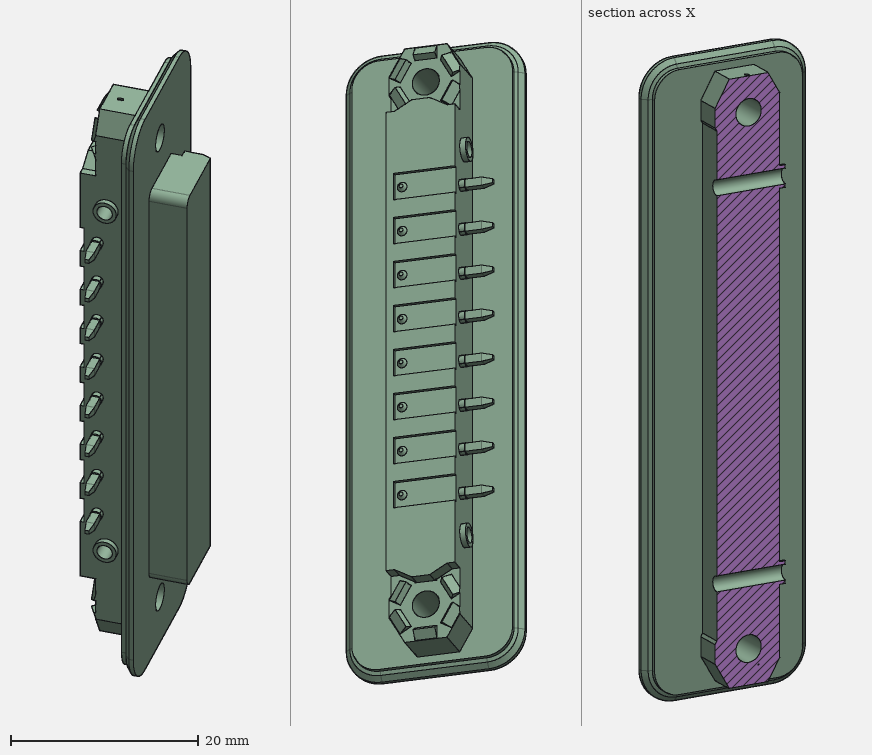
import cadquery as cq
import math

PLATE_LENGTH = 72.3
PLATE_WIDTH = 20.1
PLATE_CORNER_RADIUS = 4.05
PLATE_FRONT_X = 0.1
PLATE_BACK_X = 1.7
RIM_WALL_END_X = 0.6
RIM_BREAK_X = 0.7
RIM_EDGE_X = 1.2
RIM_WALL_INSET = 1.0
RIM_BREAK_INSET = 0.6

BODY_TOP_Y = 3.2
BODY_BOTTOM_Y = -4.55
SHOULDER_X = -4.3
PAD_FACE_X = -6.0

HEX_SIDES = 6
MOUNT_Y = -0.7
MOUNT_Z = 30.15
END_HEX_APOTHEM = 4.1
END_HEX_LIMIT_Y = 3.4
MOUNT_HOLE_RADIUS = 1.5
MARK_X = -2.7
MARK_LENGTH = 0.65
MARK_WIDTH = 0.35
MARK_DEPTH = 0.2

NUT_APOTHEM = 2.6
PAD_END_Z = MOUNT_Z - NUT_APOTHEM
PAD_CORNER_DROP = 1.1
PAD_TIP_HALF_WIDTH = 1.0
PAD_SHOULDER_HALF_WIDTH = 2.95

TAB_TIP_X = -4.9
TAB_TIP_RADIUS = 3.0
TAB_OUTER_RADIUS = 4.05
TAB_WIDTH = 2.45

CONTACT_COUNT = 8
CONTACT_ROW_LENGTH = 35.55
CONTACT_PITCH = CONTACT_ROW_LENGTH / (CONTACT_COUNT - 1)
POCKET_DEPTH = 0.4
POCKET_HEIGHT = 3.0
POCKET_TOP_Y = 2.3
STUD_Y = 1.5
STUD_BASE_RADIUS = 0.54
STUD_TIP_RADIUS = 0.2
STUD_HEIGHT = 0.35
PIN_X = -4.05
PIN_WIDTH = 0.95
PIN_TIP_WIDTH = 0.4
PIN_COLLAR_RADIUS = 0.65
COLLAR_HEIGHT = 0.65
PIN_TAPER_Y = -7.1
PIN_TIP_Y = -8.25

CROSS_HOLE_X = -3.0
CROSS_HOLE_Z = 22.25
CROSS_HOLE_RADIUS = 0.9
RING_RADIUS = 1.3

BLOCK_END_X = 6.0
BLOCK_HALF_LENGTH = 25.45
BLOCK_EDGE_RADIUS = 1.0
LATCH_START_X = 2.95
LATCH_SLOPE_X = 5.05
LATCH_TOP_Y = 4.05
LATCH_END_Y = 3.6

OVERLAP = 0.15


def at_x(x):
    """YZ plane at the given X, with +X as its extrusion direction."""
    return cq.Workplane("YZ", origin=(x, 0, 0))


def facing_down(x, y, z):
    """XZ plane through a point, with -Y as its extrusion direction."""
    return cq.Workplane("XZ", origin=(x, y, z))


def box_between(x_range, y_range, z_range):
    low, high = zip(x_range, y_range, z_range)
    size = [b - a for a, b in zip(low, high)]
    return cq.Workplane("XY").box(*size, centered=False).translate(low)


def plate_layer(start_x, end_x, start_inset, end_inset):
    """Slice of the plate whose outline shrinks by the given inset at each end."""
    outlines = []
    for x, inset in ((start_x, start_inset), (end_x, end_inset)):
        sketch = (
            cq.Sketch()
            .rect(PLATE_WIDTH - 2 * inset, PLATE_LENGTH - 2 * inset)
            .vertices()
            .fillet(PLATE_CORNER_RADIUS - inset)
        )
        outlines.append(at_x(x).placeSketch(sketch).extrude(0.7).faces("<X").wires().val())
    return cq.Workplane(cq.Solid.makeLoft(outlines, True))


def make_plate():
    wall = plate_layer(PLATE_FRONT_X, RIM_WALL_END_X, RIM_WALL_INSET, RIM_WALL_INSET)
    lower_slope = plate_layer(RIM_WALL_END_X, RIM_BREAK_X, RIM_WALL_INSET, RIM_BREAK_INSET)
    upper_slope = plate_layer(RIM_BREAK_X, RIM_EDGE_X, RIM_BREAK_INSET, 0)
    edge = plate_layer(RIM_EDGE_X, PLATE_BACK_X, 0, 0)
    return wall.union(lower_slope).union(upper_slope).union(edge)


def make_body():
    x_range = (SHOULDER_X, PLATE_FRONT_X + OVERLAP)
    body = box_between(x_range, (BODY_BOTTOM_Y, BODY_TOP_Y), (-MOUNT_Z, MOUNT_Z))
    end_limits = box_between(
        x_range, (BODY_BOTTOM_Y, END_HEX_LIMIT_Y), (-PLATE_LENGTH / 2, PLATE_LENGTH / 2)
    )
    hex_diameter = 2 * END_HEX_APOTHEM / math.cos(math.pi / HEX_SIDES)
    hex_ends = (
        at_x(SHOULDER_X)
        .pushPoints([(MOUNT_Y, MOUNT_Z), (MOUNT_Y, -MOUNT_Z)])
        .polygon(HEX_SIDES, hex_diameter)
        .extrude(x_range[1] - x_range[0])
    )
    return body.union(hex_ends.intersect(end_limits))


def make_pad():
    corner_z = PAD_END_Z - PAD_CORNER_DROP
    upper_end = [
        (BODY_TOP_Y, corner_z),
        (MOUNT_Y + PAD_SHOULDER_HALF_WIDTH, corner_z),
        (MOUNT_Y + PAD_TIP_HALF_WIDTH, PAD_END_Z),
        (MOUNT_Y - PAD_TIP_HALF_WIDTH, PAD_END_Z),
        (MOUNT_Y - PAD_SHOULDER_HALF_WIDTH, corner_z),
        (BODY_BOTTOM_Y, corner_z),
    ]
    lower_end = [(y, -z) for y, z in reversed(upper_end)]
    return at_x(PAD_FACE_X).polyline(upper_end + lower_end).close().extrude(
        SHOULDER_X - PAD_FACE_X + OVERLAP
    )


def make_tabs(mount_z):
    """Ring of ridge-shaped tabs, one on each side of the nut, trimmed flush with the body sides."""
    base_x = SHOULDER_X + OVERLAP
    profile = [
        (base_x, NUT_APOTHEM),
        (SHOULDER_X, NUT_APOTHEM),
        (TAB_TIP_X, TAB_TIP_RADIUS),
        (SHOULDER_X, TAB_OUTER_RADIUS),
        (base_x, TAB_OUTER_RADIUS),
    ]
    tab = cq.Workplane("XZ").polyline(profile).close().extrude(TAB_WIDTH / 2, both=True)
    tabs = cq.Workplane("XY")
    for index in range(HEX_SIDES):
        tabs = tabs.add(tab.rotate((0, 0, 0), (1, 0, 0), index * 360 / HEX_SIDES))
    trim = box_between(
        (TAB_TIP_X, base_x),
        (BODY_BOTTOM_Y, END_HEX_LIMIT_Y),
        (mount_z - END_HEX_APOTHEM, mount_z + END_HEX_APOTHEM),
    )
    return tabs.combine().translate((0, MOUNT_Y, mount_z)).intersect(trim)


def make_pocket(z):
    """Shallow pocket in the pad face, open toward -Y."""
    return box_between(
        (PAD_FACE_X, PAD_FACE_X + POCKET_DEPTH),
        (BODY_BOTTOM_Y, POCKET_TOP_Y),
        (z - POCKET_HEIGHT / 2, z + POCKET_HEIGHT / 2),
    )


def make_stud(z):
    """Small cone standing on the pocket floor."""
    floor_x = PAD_FACE_X + POCKET_DEPTH
    cone = cq.Solid.makeCone(
        STUD_BASE_RADIUS, STUD_TIP_RADIUS, STUD_HEIGHT, cq.Vector(floor_x, STUD_Y, z), cq.Vector(-1, 0, 0)
    )
    return cq.Workplane(cone)


def make_pin(z):
    """Square pin with a round collar and a tapered tip, pointing toward -Y."""
    collar = facing_down(PIN_X, BODY_BOTTOM_Y + OVERLAP, z).circle(PIN_COLLAR_RADIUS).extrude(
        COLLAR_HEIGHT + OVERLAP
    )
    shank = facing_down(PIN_X, BODY_BOTTOM_Y, z).rect(PIN_WIDTH, PIN_WIDTH).extrude(
        BODY_BOTTOM_Y - PIN_TAPER_Y
    )
    tip = (
        facing_down(PIN_X, PIN_TAPER_Y, z)
        .rect(PIN_WIDTH, PIN_WIDTH)
        .workplane(offset=PIN_TAPER_Y - PIN_TIP_Y)
        .rect(PIN_TIP_WIDTH, PIN_TIP_WIDTH)
        .loft(ruled=True)
    )
    return collar.union(shank).union(tip)


def make_ring(z):
    return facing_down(CROSS_HOLE_X, BODY_BOTTOM_Y + OVERLAP, z).circle(RING_RADIUS).extrude(
        COLLAR_HEIGHT + OVERLAP
    )


def make_cross_hole(z):
    length = BODY_TOP_Y - BODY_BOTTOM_Y + COLLAR_HEIGHT
    return facing_down(CROSS_HOLE_X, BODY_TOP_Y, z).circle(CROSS_HOLE_RADIUS).extrude(length)


def make_block():
    """Mating block with a latch ridge along its +Y side and rounded -Y edges."""
    start_x = PLATE_BACK_X - OVERLAP
    profile = [
        (start_x, BODY_BOTTOM_Y),
        (start_x, BODY_TOP_Y),
        (LATCH_START_X, BODY_TOP_Y),
        (LATCH_START_X, LATCH_TOP_Y),
        (LATCH_SLOPE_X, LATCH_TOP_Y),
        (BLOCK_END_X, LATCH_END_Y),
        (BLOCK_END_X, BODY_BOTTOM_Y),
    ]
    block = cq.Workplane("XY").polyline(profile).close().extrude(BLOCK_HALF_LENGTH, both=True)
    return block.faces("<Y").edges("|X").fillet(BLOCK_EDGE_RADIUS)


def make_end_mark():
    """Small shallow slot in the upper end face of the body."""
    end_z = MOUNT_Z + END_HEX_APOTHEM
    return (
        cq.Workplane("XY", origin=(MARK_X, MOUNT_Y, end_z))
        .slot2D(MARK_LENGTH, MARK_WIDTH)
        .extrude(-MARK_DEPTH)
    )


contact_heights = [i * CONTACT_PITCH - CONTACT_ROW_LENGTH / 2 for i in range(CONTACT_COUNT)]

result = make_plate().union(make_body()).union(make_pad()).union(make_block())

for mount_height in (-MOUNT_Z, MOUNT_Z):
    result = result.union(make_tabs(mount_height))

for contact_z in contact_heights:
    result = result.cut(make_pocket(contact_z))
    result = result.union(make_stud(contact_z)).union(make_pin(contact_z))

for hole_z in (-CROSS_HOLE_Z, CROSS_HOLE_Z):
    result = result.union(make_ring(hole_z)).cut(make_cross_hole(hole_z))

mount_holes = (
    at_x(PAD_FACE_X)
    .pushPoints([(MOUNT_Y, MOUNT_Z), (MOUNT_Y, -MOUNT_Z)])
    .circle(MOUNT_HOLE_RADIUS)
    .extrude(PLATE_BACK_X - PAD_FACE_X)
)
result = result.cut(mount_holes).cut(make_end_mark())